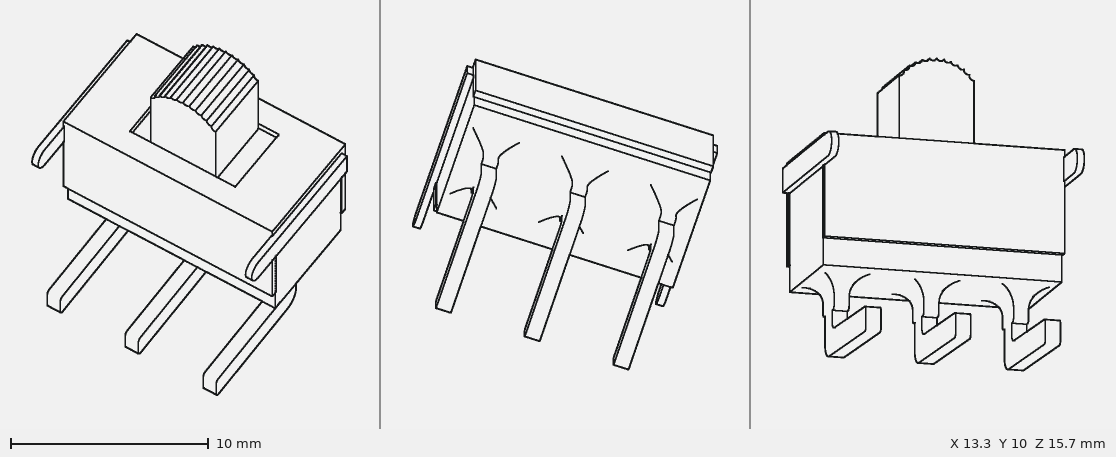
import cadquery as cq
import math


overall_length = 13.35
overall_width = 10.0
overall_height = 15.69

base_length = 12.6
base_width = 6.0
base_height = 6.43

housing_length = 12.7
housing_width = 6.7
housing_top = 6.81
skirt_bottom = 1.41

window_length = 6.4
window_width = 4.0

slider_length = 3.95
slider_width = 3.9
slider_top = 11.47
crown_rise = 1.02
scallops_per_side = 6
scallop_depth = 0.11

tab_height = 1.27
tab_reach = 5.73

terminal_spacing = 4.74
terminal_thickness = 0.8
shoulder_width = 2.0
shoulder_drop = 1.73
shoulder_round = 0.2
blade_width = 1.3
arm_tilt = 2.0
outer_bend_radius = 0.8
inner_bend_radius = 0.4
tip_round = 0.2
root_fillet = 1.0
root_margin = 0.02


def block(length, width, bottom, top):
    """Box centred in X and Y between two heights."""
    height = top - bottom
    return cq.Workplane("XY", origin=(0, 0, bottom)).box(length, width, height, centered=(True, True, False))


def make_housing():
    shell = block(housing_length, housing_width, skirt_bottom, housing_top)
    channel = block(housing_length, base_width, skirt_bottom, base_height)
    window = block(window_length, window_width, base_height, housing_top)
    return shell.cut(channel).cut(window)


def make_slider():
    half_length = slider_length / 2
    crown_radius = (half_length**2 + crown_rise**2) / (2 * crown_rise)
    crown_center = slider_top - crown_radius
    shoulder = slider_top - crown_rise

    def crown_point(angle, radius):
        turn = math.radians(angle)
        return (radius * math.sin(turn), crown_center + radius * math.cos(turn))

    edge_angle = math.degrees(math.asin(half_length / crown_radius))
    pitch = edge_angle / scallops_per_side

    profile = cq.Workplane("XZ").moveTo(half_length, base_height).lineTo(-half_length, base_height)
    profile = profile.lineTo(-half_length, shoulder)
    for i in range(-scallops_per_side, scallops_per_side):
        valley = crown_point((i + 0.5) * pitch, crown_radius - scallop_depth)
        ridge = crown_point((i + 1) * pitch, crown_radius)
        profile = profile.threePointArc(valley, ridge)
    return profile.close().extrude(slider_width / 2, both=True)


def make_tab(side):
    """Flat strip against one end of the base, round at its free end."""
    thickness = (overall_length - base_length) / 2
    root = base_width / 2
    end_radius = tab_height / 2
    bottom = base_height - tab_height
    inner_face = side * base_length / 2
    return (
        cq.Workplane("YZ", origin=(inner_face, 0, 0))
        .moveTo(root, bottom)
        .lineTo(root, base_height)
        .lineTo(end_radius - tab_reach, base_height)
        .threePointArc((-tab_reach, base_height - end_radius), (end_radius - tab_reach, bottom))
        .close()
        .extrude(side * thickness)
    )


def make_terminal_blade():
    """Vertical blade bent toward -Y into an arm that slopes slightly down."""
    half_blade = blade_width / 2
    reach = overall_width - housing_width / 2
    slope = math.tan(math.radians(arm_tilt))
    tip_bottom = slider_top - overall_height - tip_round * slope
    arm_height = blade_width / math.cos(math.radians(arm_tilt))
    tip_top = tip_bottom + arm_height
    outer_corner = tip_bottom + slope * (reach + half_blade)
    inner_corner = tip_top + slope * (reach - half_blade)
    blade = (
        cq.Workplane("YZ")
        .polyline([
            (half_blade, 0),
            (half_blade, outer_corner),
            (-reach, tip_bottom),
            (-reach, tip_top),
            (-half_blade, inner_corner),
            (-half_blade, 0),
        ])
        .close()
        .extrude(terminal_thickness / 2, both=True)
    )
    blade = blade.faces("<Y").edges("|X").fillet(tip_round)

    def bend_edge(y, z):
        return cq.selectors.NearestToPointSelector((0, y, z))

    blade = blade.edges(bend_edge(half_blade, outer_corner)).fillet(outer_bend_radius)
    return blade.edges(bend_edge(-half_blade, inner_corner)).fillet(inner_bend_radius)


def make_terminal_shoulder():
    shoulder = block(terminal_thickness, shoulder_width, -shoulder_drop, 0)
    return shoulder.edges("|X and <Z").fillet(shoulder_round)


terminal_positions = [i * terminal_spacing for i in (-1, 0, 1)]
shoulder = make_terminal_shoulder()
blade = make_terminal_blade()

body = block(base_length, base_width, 0, base_height)
for x in terminal_positions:
    body = body.union(shoulder.translate((x, 0, 0)))
for x in terminal_positions:
    root = cq.selectors.BoxSelector(
        (x - terminal_thickness, -shoulder_width, -root_margin),
        (x + terminal_thickness, shoulder_width, root_margin),
    )
    body = body.edges(root).fillet(root_fillet)

for x in terminal_positions:
    body = body.union(blade.translate((x, 0, 0)))
for side in (-1, 1):
    body = body.union(make_tab(side))

result = body.union(make_housing()).union(make_slider())